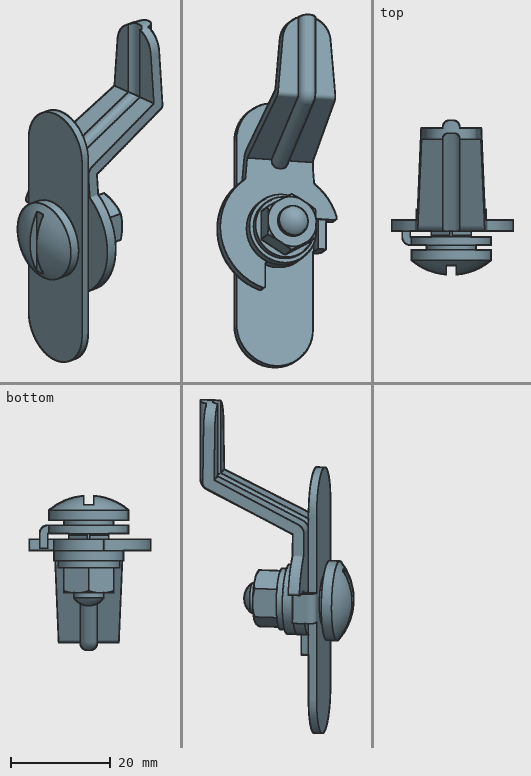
import cadquery as cq
import math


plate_thickness = 1.7
cam_front = 2.8
cam_thickness = 2.3
washer_thickness = 2.1
flange_thickness = 1.4
hex_height = 4.95
cam_back = cam_front + cam_thickness
washer_back = cam_back + washer_thickness
flange_back = washer_back + flange_thickness
nut_back = flange_back + hex_height

head_diameter = 16.0
head_gap = 0.95
head_rim = 2.1
dome_height = 2.95
drive_slot_width = 1.95
drive_slot_depth = 1.9
collar_diameter = 10.0
journal_diameter = 8.05
journal_end = 2.0
square_side = 6.0
square_tilt = 45
thread_diameter = 6.0
thread_stickout = 1.0
tip_height = 1.6
rim_back = -head_gap
rim_front = rim_back - head_rim
head_front = rim_front - dome_height

plate_width = 16.0
plate_length = 54.0
tab_width = 6.0
tab_reach = 9.85
tab_end = 4.6
tab_bend_radius = 1.7

disc_radius = 12.45
hub_radius = 7.05
notch_offset = 3.0
cam_corner_radius = 0.5
handle_top = 40.0
handle_taper = 5.0
handle_end_center = 35.0
slope_angle = 26.0
handle_offset = 21.25
upper_bend = 24.9
lower_bend_radius = 2.0
upper_bend_radius = 1.0
rib_width = 3.5
rib_height = 1.55
rib_round = 1.5
groove_depth = 1.2
groove_round = 1.2

washer_diameter = 14.0
flange_diameter = 12.3
hex_sides = 6
hex_across_flats = 10.0
hex_end_diameter = 10.2
hex_chamfer_angle = 30.0


def cylinder(diameter, start, end):
    """Round bar on the screw axis between two Y positions."""
    return cq.Workplane("XZ", origin=(0, start, 0)).circle(diameter / 2).extrude(start - end)


def square_drive(start, end):
    """Tilted square shank with its corners trimmed round."""
    square = (
        cq.Workplane("XZ", origin=(0, start, 0))
        .rect(square_side, square_side)
        .extrude(start - end)
        .rotate((0, 0, 0), (0, 1, 0), square_tilt)
    )
    return square.intersect(cylinder(journal_diameter, start, end))


def revolve_about_screw_axis(profile):
    """Full turn of a closed XY profile about the Y axis."""
    return profile.revolve(360, (0, 0, 0), (0, 1, 0))


def cap_radius(diameter, height):
    """Sphere radius of a cap with the given base diameter and height."""
    return ((diameter / 2) ** 2 + height**2) / (2 * height)


def make_head():
    """Domed head with its collar and the journal that turns in the plate."""
    head = revolve_about_screw_axis(
        cq.Workplane("XY")
        .moveTo(0, head_front)
        .radiusArc((head_diameter / 2, rim_front), -cap_radius(head_diameter, dome_height))
        .lineTo(head_diameter / 2, rim_back)
        .lineTo(collar_diameter / 2, rim_back)
        .lineTo(collar_diameter / 2, 0)
        .lineTo(journal_diameter / 2, 0)
        .lineTo(journal_diameter / 2, journal_end)
        .lineTo(0, journal_end)
        .close()
    )
    drive_slot = cq.Workplane("XY").box(drive_slot_width, 2 * drive_slot_depth, head_diameter)
    return head.cut(drive_slot.translate((0, head_front, 0)))


def make_thread():
    """Threaded stretch with its domed tip."""
    thread_end = nut_back + thread_stickout
    return revolve_about_screw_axis(
        cq.Workplane("XY")
        .moveTo(0, cam_back)
        .lineTo(thread_diameter / 2, cam_back)
        .lineTo(thread_diameter / 2, thread_end)
        .radiusArc((0, thread_end + tip_height), -cap_radius(thread_diameter, tip_height))
        .close()
    )


def make_screw():
    return make_head().union(square_drive(journal_end, cam_back)).union(make_thread())


def make_plate():
    plate = (
        cq.Workplane("XZ")
        .slot2D(plate_length, plate_width, 90)
        .extrude(-plate_thickness)
    )
    tab = (
        cq.Workplane("XY", origin=(0, 0, -tab_width / 2))
        .lineTo(-tab_reach + tab_bend_radius, 0)
        .radiusArc((-tab_reach, tab_bend_radius), tab_bend_radius)
        .lineTo(-tab_reach, tab_end)
        .lineTo(-tab_reach + plate_thickness, tab_end)
        .lineTo(-tab_reach + plate_thickness, plate_thickness)
        .lineTo(0, plate_thickness)
        .close()
        .extrude(tab_width)
    )
    return plate.union(tab).cut(cylinder(journal_diameter, 0, plate_thickness))


def bend_corner(depth):
    """Upper bend corner (Y, Z) at a depth behind the front face of the handle."""
    drop = depth * math.tan(math.radians(90 - slope_angle) / 2)
    return handle_offset + depth, upper_bend - drop


def slope_point(depth, y):
    """Point (Y, Z) at position y on the sloped line at a depth behind the front face."""
    corner_y, corner_z = bend_corner(depth)
    return y, corner_z - (corner_y - y) * math.tan(math.radians(slope_angle))


def handle_strip(front_depth, back_depth, lower_y):
    """Rib-wide strip along the upper two handle stretches, between two depths."""
    outline = [
        (handle_offset + front_depth, handle_top),
        bend_corner(front_depth),
        slope_point(front_depth, lower_y),
        slope_point(back_depth, lower_y),
        bend_corner(back_depth),
        (handle_offset + back_depth, handle_top),
    ]
    return cq.Workplane("YZ").polyline(outline).close().extrude(rib_width / 2, both=True)


def edge_at(y, z):
    """Selector for the edge along X through the point (y, z)."""
    return cq.selectors.NearestToPointSelector((0, y, z))


def cam_side_profile():
    """Full-width Z-shaped slab with rounded outer bends."""
    outline = [
        (handle_offset, handle_top),
        bend_corner(0),
        slope_point(0, cam_front),
        (cam_front, -disc_radius),
        (cam_back, -disc_radius),
        slope_point(cam_thickness, cam_back),
        bend_corner(cam_thickness),
        (handle_offset + cam_thickness, handle_top),
    ]
    slab = cq.Workplane("YZ").polyline(outline).close().extrude(disc_radius, both=True)
    lower_corner = edge_at(*slope_point(0, cam_front))
    upper_corner = edge_at(*bend_corner(cam_thickness))
    slab = slab.edges("|X").edges(lower_corner).fillet(lower_bend_radius)
    return slab.edges("|X").edges(upper_corner).fillet(upper_bend_radius)


def round_strip(strip, depth, radius):
    """Round the two long back edges of a handle strip."""
    middle_y = (cam_back + handle_offset) / 2
    half_width = rib_width / 2
    slope_y, slope_z = slope_point(depth, middle_y)
    upper_z = (upper_bend + handle_top) / 2
    touch_tolerance = 0.01
    edges = []
    for side in (-half_width, half_width):
        for y, z in ((slope_y, slope_z), (handle_offset + depth, upper_z)):
            probe = cq.Vertex.makeVertex(side, y, z)
            edges += [edge for edge in strip.edges().vals() if edge.distance(probe) < touch_tolerance]
    return strip.newObject([strip.val().fillet(radius, edges)])


def make_rib():
    """Rounded rib standing on the back of the handle."""
    back_depth = cam_thickness + rib_height
    half_thickness = cam_thickness / 2
    rib = handle_strip(half_thickness, back_depth, cam_back)
    rib = (
        rib.edges("|X")
        .edges(edge_at(*bend_corner(back_depth)))
        .fillet(upper_bend_radius + rib_height)
    )
    return round_strip(rib, back_depth, rib_round)


def make_groove():
    """Rounded groove pressed into the front of the handle."""
    lead_out = cam_front - cam_thickness
    groove = handle_strip(-groove_depth, groove_depth, lead_out)
    return round_strip(groove, groove_depth, groove_round)


def cam_front_profile():
    """Notched disc with hub and tapered, round-ended handle, extruded along Y."""
    depth = handle_offset + cam_thickness + rib_height
    taper = math.radians(handle_taper)
    end_radius = handle_top - handle_end_center
    tangent_x = end_radius * math.cos(taper)
    tangent_z = handle_end_center + end_radius * math.sin(taper)
    root_x = tangent_x + (tangent_z - notch_offset) * math.tan(taper)

    edge_distance = end_radius + handle_end_center * math.sin(taper)
    edge_angle = math.acos(edge_distance / disc_radius) + taper
    handle_root_x = disc_radius * math.cos(edge_angle)
    handle_root_z = disc_radius * math.sin(edge_angle)

    notch_size = disc_radius + notch_offset
    notch_center = notch_offset - notch_size / 2
    notch = cq.Workplane("XY").box(notch_size, 2 * depth, notch_size)
    notch = notch.translate((notch_center, 0, notch_center))
    handle = (
        cq.Workplane("XZ")
        .moveTo(-root_x, notch_offset)
        .lineTo(-tangent_x, tangent_z)
        .threePointArc((0, handle_top), (tangent_x, tangent_z))
        .lineTo(root_x, notch_offset)
        .close()
        .extrude(-depth)
    )
    profile = cylinder(2 * disc_radius, 0, depth).cut(notch)
    profile = profile.union(cylinder(2 * hub_radius, 0, depth)).union(handle)

    disc_corner = math.sqrt(disc_radius**2 - notch_offset**2)
    hub_corner = math.sqrt(hub_radius**2 - notch_offset**2)
    corners = (
        (-handle_root_x, handle_root_z),
        (handle_root_x, handle_root_z),
        (-disc_corner, notch_offset),
        (notch_offset, -disc_corner),
        (-hub_corner, notch_offset),
        (notch_offset, -hub_corner),
    )
    for x, z in corners:
        corner_edge = cq.selectors.NearestToPointSelector((x, depth / 2, z))
        profile = profile.edges("|Y").edges(corner_edge).fillet(cam_corner_radius)
    return profile


def make_cam():
    cam = cam_side_profile().union(make_rib()).cut(make_groove())
    cam = cam.intersect(cam_front_profile())
    return cam.cut(square_drive(cam_front, cam_back))


def make_washer():
    washer = cylinder(washer_diameter, cam_back, washer_back)
    return washer.cut(cylinder(thread_diameter, cam_back, washer_back))


def make_nut():
    """Hexagon nut with a round flange and a chamfered outer end."""
    corner_diameter = hex_across_flats / math.cos(math.pi / hex_sides)
    hexagon = (
        cq.Workplane("XZ", origin=(0, flange_back, 0))
        .polygon(hex_sides, corner_diameter)
        .extrude(-hex_height)
        .rotate((0, 0, 0), (0, 1, 0), 90)
    )
    chamfer_height = (corner_diameter - hex_end_diameter) / 2 * math.tan(math.radians(hex_chamfer_angle))
    envelope = revolve_about_screw_axis(
        cq.Workplane("XY")
        .moveTo(0, flange_back)
        .lineTo(corner_diameter / 2, flange_back)
        .lineTo(corner_diameter / 2, nut_back - chamfer_height)
        .lineTo(hex_end_diameter / 2, nut_back)
        .lineTo(0, nut_back)
        .close()
    )
    nut = hexagon.intersect(envelope).union(cylinder(flange_diameter, washer_back, flange_back))
    return nut.cut(cylinder(thread_diameter, washer_back, nut_back))


screw = make_screw()
plate = make_plate()
cam = make_cam()
washer = make_washer()
nut = make_nut()
result = cq.Compound.makeCompound([screw.val(), plate.val(), cam.val(), washer.val(), nut.val()])